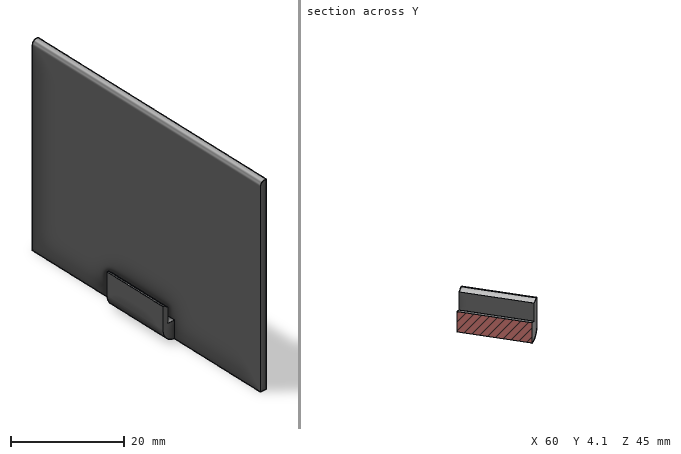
import cadquery as cq

plate_width = 60.0
plate_height = 45.0
plate_thickness = 1.4
top_edge_radius = 1.0

total_depth = 4.1
hook_width = 14.75
hook_height = 8.1
hook_floor_height = 4.0
lip_thickness = 1.2
lip_bevel_depth = 0.85
lip_bevel_height = 0.7
hook_depth = total_depth - plate_thickness
hook_bottom_radius = 3.0


def make_plate():
    """Plate with its top front edge rounded; the front face lies at Y = 0."""
    plate = cq.Workplane("XY").box(
        plate_width, plate_thickness, plate_height, centered=(True, False, False)
    )
    return plate.faces("<Y").edges(">Z").fillet(top_edge_radius)


def make_hook():
    """J-shaped hook with a rounded bottom and a lip bevelled toward the plate."""
    lip_inner_y = lip_thickness - hook_depth
    arc_end_y = hook_bottom_radius - hook_depth
    profile = (
        cq.Workplane("YZ", origin=(-hook_width / 2, 0, 0))
        .moveTo(arc_end_y, 0)
        .lineTo(arc_end_y, hook_floor_height)
        .lineTo(lip_inner_y, hook_floor_height)
        .lineTo(lip_inner_y, hook_height - lip_bevel_height)
        .lineTo(lip_inner_y - lip_bevel_depth, hook_height)
        .lineTo(-hook_depth, hook_height)
        .lineTo(-hook_depth, hook_bottom_radius)
        .radiusArc((arc_end_y, 0), -hook_bottom_radius)
        .close()
    )
    return profile.extrude(hook_width)


result = make_plate().union(make_hook())